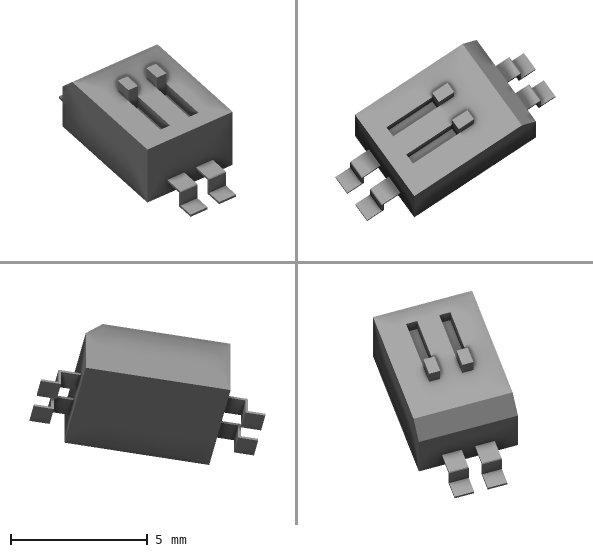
import cadquery as cq

overall_length = 8.37
overall_height = 3.1

housing_length = 5.41
housing_width = 3.81
housing_bottom = 0.1
housing_top = 2.595
housing_chamfer = 0.63

position_pitch = 1.27
position_centers = [-position_pitch / 2, position_pitch / 2]

slot_start = -0.68
slot_length = 2.71
slot_width = 0.43
slot_depth = 0.5
slot_floor = housing_top - slot_depth
knob_length = 0.68

plate_width = position_pitch + slot_width
plate_thickness = 0.25

lead_width = 0.75
lead_thickness = 0.1
lead_top = 0.75
lead_bevel = 0.03
foot_length = 0.645


def slot_block(center_y, length, bottom, top):
    """Block of slot width that starts at the -X end of a slot."""
    return (
        cq.Workplane("XY", origin=(slot_start, center_y, bottom))
        .box(length, slot_width, top - bottom, centered=(False, True, False))
    )


def make_actuator_plate():
    return (
        cq.Workplane("XY", origin=(slot_start, 0, slot_floor - plate_thickness))
        .box(slot_length, plate_width, plate_thickness, centered=(False, True, False))
    )


def make_housing():
    """Block with one chamfered top edge, two slots and a recess for the actuator plate."""
    housing = (
        cq.Workplane("XY", origin=(0, 0, housing_bottom))
        .box(housing_length, housing_width, housing_top - housing_bottom, centered=(True, True, False))
        .edges("<X and >Z")
        .chamfer(housing_chamfer)
    )
    for center_y in position_centers:
        housing = housing.cut(slot_block(center_y, slot_length, slot_floor, housing_top))
    return housing.cut(make_actuator_plate())


def make_actuator():
    """One piece: two knobs on a common plate."""
    actuator = make_actuator_plate()
    for center_y in position_centers:
        actuator = actuator.union(slot_block(center_y, knob_length, slot_floor, overall_height))
    return actuator


def make_lead(center_y, side):
    """Z-shaped strip from the housing wall to the foot; side is -1 for -X and +1 for +X."""
    tip = overall_length / 2
    riser_outer = tip - foot_length
    riser_inner = riser_outer - lead_thickness
    wall = housing_length / 2
    outline = [
        (wall, lead_top),
        (riser_outer - lead_bevel, lead_top),
        (riser_outer, lead_top - lead_bevel),
        (riser_outer, lead_thickness),
        (tip, lead_thickness),
        (tip, 0),
        (riser_inner, 0),
        (riser_inner, lead_top - lead_thickness),
        (wall, lead_top - lead_thickness),
    ]
    return (
        cq.Workplane("XZ", origin=(0, center_y, 0))
        .polyline([(side * x, z) for x, z in outline])
        .close()
        .extrude(lead_width / 2, both=True)
    )


housing = make_housing()
actuator = make_actuator()
leads = [make_lead(center_y, side) for side in (-1, 1) for center_y in position_centers]

result = cq.Compound.makeCompound(
    [housing.solids().val(), actuator.solids().val(), *[lead.solids().val() for lead in leads]]
)